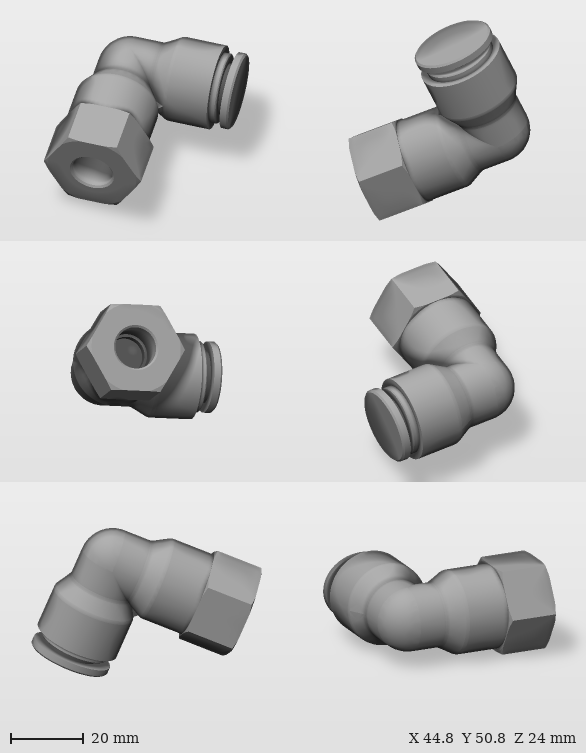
import cadquery as cq
import math


overall_length = 50.75

neck_dia = 18.0
leg_dia = 23.5
flare_start = 8.0
flare_length = 4.95
flare_blend = 2.05
leg_length = 25.0
web_thickness = 2.0
web_reach = 12.05

nut_flats = 24.0
nut_length = overall_length - leg_dia / 2 - leg_length
nut_face_dia = 25.05
nut_bevel_angle = 22
thread_dia = 11.45
thread_depth = 11.15
thread_mouth_dia = 12.55
bore_dia = 10.0

collar_dia = 19.6
collar_length = 1.95
collar_chamfer = 0.3

sleeve_neck_dia = 14.2
sleeve_neck_length = 1.6
flange_width = 22.6
flange_height = 19.5
flange_length = 2.35
flange_chamfer = 0.5


def make_leg():
    """One leg of the elbow along +X, from the bend centre to its end face."""
    flare_end = flare_start + flare_length
    leg = (
        cq.Workplane("XY")
        .polyline([
            (0, 0),
            (0, neck_dia / 2),
            (flare_start, neck_dia / 2),
            (flare_end, leg_dia / 2),
            (leg_length, leg_dia / 2),
            (leg_length, 0),
        ])
        .close()
        .revolve(360, (0, 0, 0), (1, 0, 0))
    )
    return leg.faces("%CONE").edges("%CIRCLE").fillet(flare_blend)


def make_web():
    """Flat triangular web that closes the notch between the two flares."""
    return (
        cq.Workplane("XY")
        .polyline([
            (0, 0),
            (2 * web_reach, 0),
            (0, -2 * web_reach),
        ])
        .close()
        .extrude(web_thickness / 2, both=True)
    )


def make_elbow():
    leg = make_leg()
    ball = cq.Workplane("XY").sphere(neck_dia / 2)
    return (
        leg
        .union(leg.rotate((0, 0, 0), (0, 0, 1), -90))
        .union(ball)
        .union(make_web())
    )


def make_nut():
    corner_dia = nut_flats / math.cos(math.pi / 6)
    bevel_width = (corner_dia - nut_face_dia) / 2
    bevel_depth = bevel_width * math.tan(math.radians(nut_bevel_angle))
    mouth_depth = (thread_mouth_dia - thread_dia) / 2

    base = cq.Workplane("XZ", origin=(0, -leg_length, 0))
    hexagon = base.polygon(6, corner_dia).extrude(nut_length)
    bevelled_disc = (
        base.circle(corner_dia / 2)
        .extrude(nut_length)
        .edges("%CIRCLE")
        .chamfer(bevel_depth, bevel_width)
    )
    bore = base.circle(bore_dia / 2).extrude(nut_length)
    thread = (
        base.workplane(offset=nut_length - thread_depth)
        .circle(thread_dia / 2)
        .extrude(thread_depth)
    )
    nut = hexagon.intersect(bevelled_disc).cut(bore).cut(thread)
    mouth_edge = cq.selectors.RadiusNthSelector(0)
    return nut.faces("<Y").edges(mouth_edge).chamfer(mouth_depth)


def make_collar():
    return (
        cq.Workplane("YZ", origin=(leg_length, 0, 0))
        .circle(collar_dia / 2)
        .extrude(collar_length)
        .faces(">X")
        .chamfer(collar_chamfer)
    )


def make_sleeve():
    return (
        cq.Workplane("YZ", origin=(leg_length + collar_length, 0, 0))
        .circle(sleeve_neck_dia / 2)
        .extrude(sleeve_neck_length)
        .faces(">X")
        .workplane()
        .ellipse(flange_width / 2, flange_height / 2)
        .extrude(flange_length)
        .faces(">X")
        .chamfer(flange_chamfer)
    )


elbow = make_elbow()
nut = make_nut()
collar = make_collar()
sleeve = make_sleeve()

result = cq.Compound.makeCompound([
    elbow.solids().val(),
    nut.solids().val(),
    collar.solids().val(),
    sleeve.solids().val(),
])